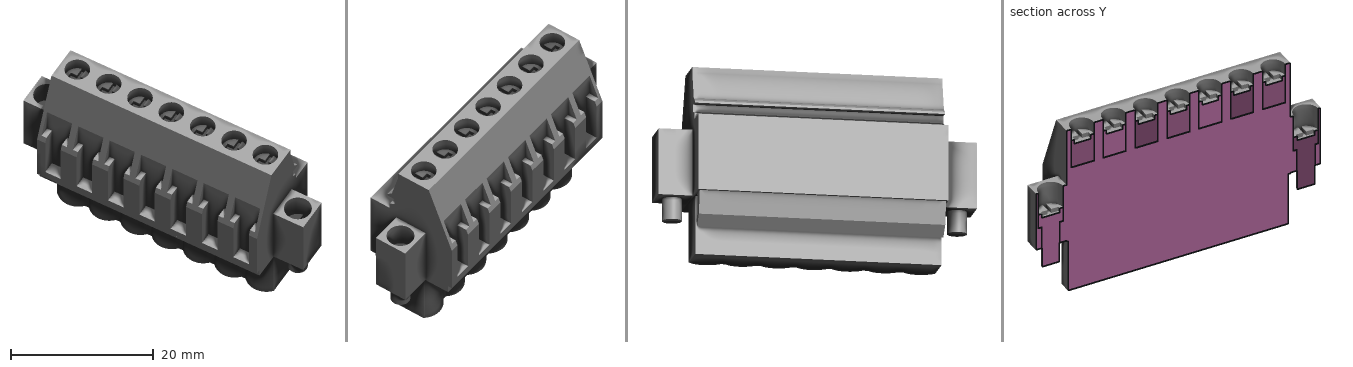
import cadquery as cq

total_length = 45.35
total_height = 27.2
pole_count = 7
pole_pitch = 5.1
pole_positions = [(i - (pole_count - 1) / 2) * pole_pitch for i in range(pole_count)]

housing_length = 35.65
housing_depth = 14.1
front_y = -housing_depth / 2
back_y = housing_depth / 2
housing_bottom = 8.4
front_step_top = 9.6
front_step_depth = 0.7
bevel_bottom = 17.3
top_front_y = -3.05
top_back_y = 2.25
back_bevel_top = 26.4
back_bevel_bottom = 22.4
back_bevel_y = 3.4
lip_tip_y = 4.17
lip_tip_top = 21.9
lip_bottom = 21.6
groove_y = 2.95
groove_bottom = 20.55
shelf_back_y = 3.75
shelf_chamfer_bottom = 20.2
shelf_top = 19.3

pocket_floor_y = -5.2
pocket_width = 4.1
pocket_bottom = 18.1
pocket_top = 21.77
slot_width = 2.5
slot_bottom = 10.85

plug_back_y = 3.1
plug_web_y = -2.0
plug_front_y = -3.0
plug_half_width = 2.18
end_plug_half_width = 2.2
plug_row_half = 17.55

hook_root_back_y = 6.55
hook_root_front_y = 4.5
hook_corners = [
    (5.85, 5.13),
    (4.45, 3.67),
    (4.1, 4.65),
    (4.75, 5.45),
    (4.75, 7.65),
]

flange_length = (total_length - housing_length) / 2
flange_depth = 5.13
flange_y = 0.05
flange_bottom = 8.55
flange_top = 18.05
flange_x = (total_length - flange_length) / 2

terminal_screw_y = -0.25
terminal_screw_diameter = 3.6
terminal_screw_recess = 1.9
terminal_screw_length = 4.55
terminal_screw_top = total_height - terminal_screw_recess
terminal_slot_width = 0.6
terminal_cross_width = 0.8
terminal_cross_length = 2.55

flange_screw_x = 4 * pole_pitch
flange_head_diameter = 3.9
flange_head_recess = 3.65
flange_head_height = 2.25
flange_head_top = flange_top - flange_head_recess
flange_head_bottom = flange_head_top - flange_head_height
flange_shank_diameter = 2.8
flange_shank_bottom = 5.35
flange_slot_width = 0.55
flange_cross_width = 0.85
flange_cross_length = 2.7

drive_depth = 0.7


def box_between(x_range, y_range, z_range):
    """Box that fills the given ranges of X, Y and Z."""
    low, high = zip(x_range, y_range, z_range)
    size = [b - a for a, b in zip(low, high)]
    return cq.Workplane("XY").box(*size, centered=False).translate(low)


def cylinder(x, y, bottom, top, diameter):
    """Upright cylinder centred on (x, y)."""
    return cq.Workplane("XY", origin=(x, y, bottom)).circle(diameter / 2).extrude(top - bottom)


def make_shell():
    """Main prism of the housing, extruded from its cross-section."""
    outline = [
        (front_y + front_step_depth, housing_bottom),
        (front_y + front_step_depth, front_step_top),
        (front_y, front_step_top),
        (front_y, bevel_bottom),
        (top_front_y, total_height),
        (top_back_y, total_height),
        (top_back_y, back_bevel_top),
        (back_bevel_y, back_bevel_bottom),
        (lip_tip_y, lip_tip_top),
        (lip_tip_y, lip_bottom),
        (groove_y, lip_bottom),
        (groove_y, groove_bottom),
        (shelf_back_y, shelf_chamfer_bottom),
        (shelf_back_y, shelf_top),
        (back_y, shelf_top),
        (back_y, housing_bottom),
    ]
    return cq.Workplane("YZ").polyline(outline).close().extrude(housing_length / 2, both=True)


def make_wire_pocket(x):
    """Cutter for one T-shaped wire-entry pocket."""
    depth_range = (front_y, pocket_floor_y)
    wide = box_between(
        (x - pocket_width / 2, x + pocket_width / 2), depth_range, (pocket_bottom, pocket_top)
    )
    narrow = box_between(
        (x - slot_width / 2, x + slot_width / 2), depth_range, (slot_bottom, pocket_top)
    )
    return wide.union(narrow)


def make_plug_row():
    """Plug row: flat back and ends, with one shallow arc bulging forward at each pole."""
    outline = cq.Workplane("XY").moveTo(-plug_row_half, plug_back_y).lineTo(-plug_row_half, plug_web_y)
    for x in pole_positions:
        at_end = x in (pole_positions[0], pole_positions[-1])
        half_width = end_plug_half_width if at_end else plug_half_width
        outline = outline.lineTo(x - half_width, plug_web_y)
        outline = outline.threePointArc((x, plug_front_y), (x + half_width, plug_web_y))
    outline = outline.lineTo(plug_row_half, plug_web_y).lineTo(plug_row_half, plug_back_y)
    return outline.close().extrude(housing_bottom)


def make_latch_hook():
    """Latch hook hanging from the back of the housing along the plug row."""
    outline = [
        (hook_root_back_y, housing_bottom),
        *hook_corners,
        (hook_root_front_y, housing_bottom),
    ]
    return cq.Workplane("YZ").polyline(outline).close().extrude(plug_row_half, both=True)


def make_flange(side):
    """Flange block at one end of the housing."""
    return box_between(
        (side * flange_x - flange_length / 2, side * flange_x + flange_length / 2),
        (flange_y - flange_depth / 2, flange_y + flange_depth / 2),
        (flange_bottom, flange_top),
    )


def make_drive(x, y, top, slot_width_x, slot_length_y, cross_length_x, cross_width_y):
    """Cutter for the slotted cross drive in the top of a screw."""
    drive = cq.Workplane("XY", origin=(x, y, top - drive_depth))
    slot = drive.rect(slot_width_x, slot_length_y).extrude(drive_depth)
    cross = drive.rect(cross_length_x, cross_width_y).extrude(drive_depth)
    return slot.union(cross)


def make_terminal_screw(x):
    """Headless terminal screw whose long slot runs right across its top."""
    bottom = terminal_screw_top - terminal_screw_length
    body = cylinder(x, terminal_screw_y, bottom, terminal_screw_top, terminal_screw_diameter)
    drive = make_drive(
        x,
        terminal_screw_y,
        terminal_screw_top,
        terminal_slot_width,
        terminal_screw_diameter,
        terminal_cross_length,
        terminal_cross_width,
    )
    return body.cut(drive)


def make_flange_screw(side):
    """Flange screw with a cylindrical head and a shank that sticks out below the flange."""
    x = side * flange_screw_x
    head = cylinder(x, flange_y, flange_head_bottom, flange_head_top, flange_head_diameter)
    shank = cylinder(x, flange_y, flange_shank_bottom, flange_head_bottom, flange_shank_diameter)
    drive = make_drive(
        x,
        flange_y,
        flange_head_top,
        flange_slot_width,
        flange_head_diameter,
        flange_cross_length,
        flange_cross_width,
    )
    return head.union(shank).cut(drive)


def make_terminal_hole(x):
    """Cutter for the blind hole that holds one terminal screw."""
    bottom = terminal_screw_top - terminal_screw_length
    return cylinder(x, terminal_screw_y, bottom, total_height, terminal_screw_diameter)


def make_flange_hole(side):
    """Cutter for the counterbored through hole in one flange."""
    x = side * flange_screw_x
    counterbore = cylinder(x, flange_y, flange_head_bottom, flange_top, flange_head_diameter)
    through = cylinder(x, flange_y, flange_bottom, flange_top, flange_shank_diameter)
    return counterbore.union(through)


def make_housing():
    """Whole housing with its pockets and screw holes."""
    housing = make_shell().union(make_plug_row()).union(make_latch_hook())
    for side in (-1, 1):
        housing = housing.union(make_flange(side)).cut(make_flange_hole(side))
    for x in pole_positions:
        housing = housing.cut(make_wire_pocket(x)).cut(make_terminal_hole(x))
    return housing


housing = make_housing()
terminal_screws = [make_terminal_screw(x) for x in pole_positions]
flange_screws = [make_flange_screw(side) for side in (-1, 1)]

result = cq.Compound.makeCompound(
    [
        housing.val(),
        *[screw.val() for screw in terminal_screws],
        *[screw.val() for screw in flange_screws],
    ]
)